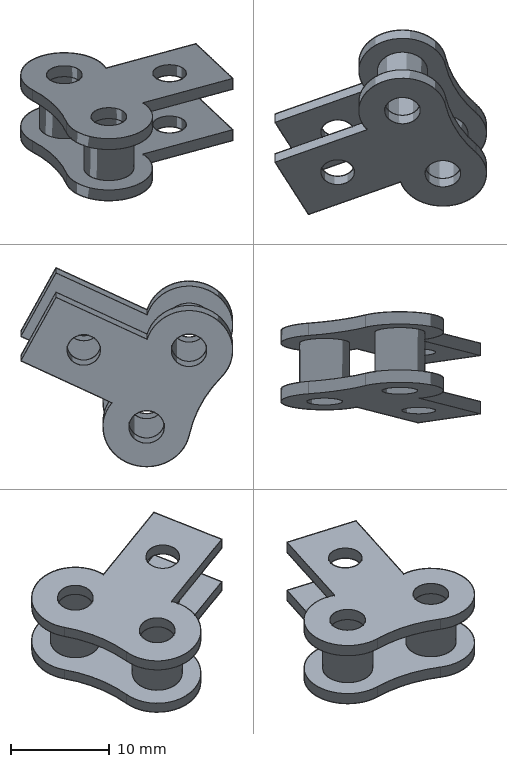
import cadquery as cq
import math

pitch = 9.53
lobe_diameter = 8.84
waist_depth = 3.78
overall_length = 19.09
overall_height = 7.3
plate_thickness = 1.28
tab_width = 7.9
tab_hole_diameter = 3.38
tab_hole_distance = 9.53
bore_diameter = 3.59
roller_diameter = 5.08

half_pitch = pitch / 2
lobe_radius = lobe_diameter / 2
tab_end = overall_length - lobe_radius
roller_length = overall_height - 2 * plate_thickness
roller_centers = [(-half_pitch, 0), (half_pitch, 0)]

waist_radius = (waist_depth**2 + half_pitch**2 - lobe_radius**2) / (2 * (lobe_radius - waist_depth))
waist_center_depth = waist_depth + waist_radius
tangent_x = half_pitch * waist_radius / (waist_radius + lobe_radius)
tangent_y = -waist_center_depth * lobe_radius / (waist_radius + lobe_radius)

tab_x = tab_width / 2
tab_root_y = math.sqrt(lobe_radius**2 - (half_pitch - tab_x) ** 2)


def make_plate(bottom_z):
    """Link plate with two lobes, a concave waist and a drilled straight tab."""
    outer_x = half_pitch + lobe_radius
    plate = (
        cq.Workplane("XY", origin=(0, 0, bottom_z))
        .moveTo(-tangent_x, tangent_y)
        .threePointArc((0, -waist_depth), (tangent_x, tangent_y))
        .threePointArc((outer_x, 0), (tab_x, tab_root_y))
        .lineTo(tab_x, tab_end)
        .lineTo(-tab_x, tab_end)
        .lineTo(-tab_x, tab_root_y)
        .threePointArc((-outer_x, 0), (-tangent_x, tangent_y))
        .close()
        .extrude(plate_thickness)
    )
    bores = (
        cq.Workplane("XY", origin=(0, 0, bottom_z))
        .pushPoints(roller_centers)
        .circle(bore_diameter / 2)
        .extrude(plate_thickness)
    )
    tab_hole = (
        cq.Workplane("XY", origin=(0, tab_hole_distance, bottom_z))
        .circle(tab_hole_diameter / 2)
        .extrude(plate_thickness)
    )
    return plate.cut(bores).cut(tab_hole)


def make_roller(center):
    """Hollow roller standing between the plates, its bore in line with theirs."""
    x, y = center
    return (
        cq.Workplane("XY", origin=(x, y, plate_thickness))
        .circle(roller_diameter / 2)
        .circle(bore_diameter / 2)
        .extrude(roller_length)
    )


plate_levels = [0, plate_thickness + roller_length]
plates = [make_plate(level).val() for level in plate_levels]
rollers = [make_roller(center).val() for center in roller_centers]

result = cq.Compound.makeCompound([*plates, *rollers])